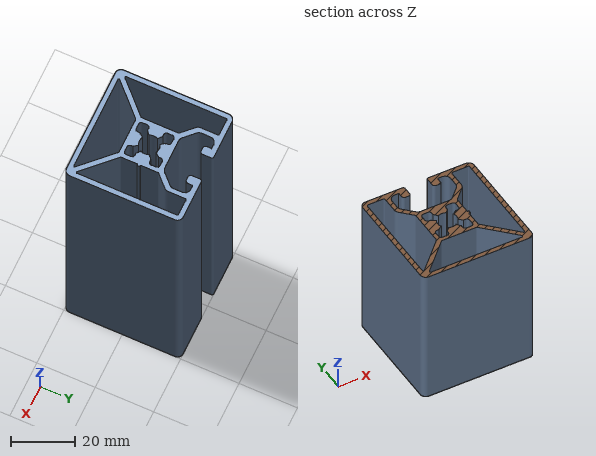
import cadquery as cq

SIZE = 40.0
LENGTH = 100.0
HALF = SIZE / 2
CORNER_RADIUS = 2.0

WALL = 1.75
INNER = HALF - WALL
CHAMBER_RADIUS = 0.3
CHAMBER_BEND_RADIUS = 2.0

CORE_OUTER = 7.5
CORE_INNER = 6.0
CORE_POCKET_RADIUS = 0.9

TOOTH_ROOT_HALF_WIDTH = 2.6
TOOTH_SHOULDER = 4.4
TOOTH_TIP_HALF_WIDTH = 1.5
TOOTH_TIP = 3.0
SCREW_BORE_RADIUS = (TOOTH_TIP_HALF_WIDTH**2 + TOOTH_TIP**2) ** 0.5

LOWER_WEB_OFFSET = 1.25
UPPER_WEB_OUTER_OFFSET = 0.85
UPPER_WEB_INNER_OFFSET = 1.8

SLOT_OPENING_HALF_WIDTH = 4.0
SLOT_HALF_WIDTH = 10.45
SLOT_WALL = 1.6
SLOT_FLOOR = 7.7
SLOT_CEILING = 18.1
SLOT_CEILING_RADIUS = 2.0
SLOT_FLOOR_RADIUS = 2.0
LIP_WIDTH = 3.0
LIP_BOTTOM = 15.5
LIP_RADIUS = 1.0
LIP_EDGE_RADIUS = 0.7

RIB_HEIGHT = 0.5
RIB_WIDTH = 1.0


def prism(points):
    """Extrude a closed outline over the full length."""
    return cq.Workplane("XY").polyline(points).close().extrude(LENGTH)


def round_edges_at(body, points, radius):
    """Round the lengthwise edges that pass through the given points."""
    for x, y in points:
        edge = cq.selectors.NearestToPointSelector((x, y, LENGTH / 2))
        body = body.edges("|Z").edges(edge).fillet(radius)
    return body


def outer_block():
    block = cq.Workplane("XY").rect(SIZE, SIZE).extrude(LENGTH)
    return block.edges("|Z").fillet(CORNER_RADIUS)


def side_chamber():
    """Chamber on the -X side, beside the T-slot and the core tube."""
    slot_outer = SLOT_HALF_WIDTH + SLOT_WALL
    bend = (-slot_outer, slot_outer - UPPER_WEB_OUTER_OFFSET)
    sharp_corners = [
        (-CORE_OUTER, CORE_OUTER - UPPER_WEB_OUTER_OFFSET),
        (-CORE_OUTER, LOWER_WEB_OFFSET - CORE_OUTER),
        (-INNER, LOWER_WEB_OFFSET - INNER),
        (-INNER, INNER),
        (-slot_outer, INNER),
    ]
    chamber = prism([bend] + sharp_corners)
    chamber = round_edges_at(chamber, [bend], CHAMBER_BEND_RADIUS)
    return round_edges_at(chamber, sharp_corners, CHAMBER_RADIUS)


def bottom_chamber():
    """Chamber on the -Y side, between the two lower webs."""
    top_half_width = CORE_OUTER - LOWER_WEB_OFFSET
    bottom_half_width = INNER - LOWER_WEB_OFFSET
    chamber = prism([
        (-top_half_width, -CORE_OUTER),
        (top_half_width, -CORE_OUTER),
        (bottom_half_width, -INNER),
        (-bottom_half_width, -INNER),
    ])
    return chamber.edges("|Z").fillet(CHAMBER_RADIUS)


def t_slot():
    lip_back = SLOT_OPENING_HALF_WIDTH + LIP_WIDTH
    wall_end = SLOT_HALF_WIDTH + UPPER_WEB_INNER_OFFSET
    floor_end = SLOT_FLOOR - UPPER_WEB_INNER_OFFSET
    right_half = [
        (floor_end, SLOT_FLOOR),
        (SLOT_HALF_WIDTH, wall_end),
        (SLOT_HALF_WIDTH, SLOT_CEILING),
        (lip_back, SLOT_CEILING),
        (lip_back, LIP_BOTTOM),
        (SLOT_OPENING_HALF_WIDTH, LIP_BOTTOM),
        (SLOT_OPENING_HALF_WIDTH, HALF),
    ]
    left_half = [(-x, y) for x, y in reversed(right_half)]
    slot = prism(right_half + left_half)
    for side in (-1, 1):
        slot = round_edges_at(slot, [(side * SLOT_HALF_WIDTH, SLOT_CEILING)], SLOT_CEILING_RADIUS)
        floor_corners = [(side * floor_end, SLOT_FLOOR), (side * SLOT_HALF_WIDTH, wall_end)]
        slot = round_edges_at(slot, floor_corners, SLOT_FLOOR_RADIUS)
        lip_corners = [(side * lip_back, LIP_BOTTOM), (side * SLOT_OPENING_HALF_WIDTH, LIP_BOTTOM)]
        slot = round_edges_at(slot, lip_corners, LIP_RADIUS)
    return slot


def core_tooth():
    """Tooth pointing from the +Y wall of the core tube to the centre."""
    return prism([
        (-TOOTH_ROOT_HALF_WIDTH, CORE_INNER),
        (-TOOTH_ROOT_HALF_WIDTH, TOOTH_SHOULDER),
        (-TOOTH_TIP_HALF_WIDTH, TOOTH_TIP),
        (TOOTH_TIP_HALF_WIDTH, TOOTH_TIP),
        (TOOTH_ROOT_HALF_WIDTH, TOOTH_SHOULDER),
        (TOOTH_ROOT_HALF_WIDTH, CORE_INNER),
    ])


def core_cavity():
    cavity = cq.Workplane("XY").rect(2 * CORE_INNER, 2 * CORE_INNER).extrude(LENGTH)
    tooth = core_tooth()
    for turn in range(4):
        cavity = cavity.cut(tooth.rotate((0, 0, 0), (0, 0, 1), 90 * turn))
    pocket_corners = []
    for sx in (-1, 1):
        for sy in (-1, 1):
            pocket_corners.append((sx * CORE_INNER, sy * CORE_INNER))
            pocket_corners.append((sx * CORE_INNER, sy * TOOTH_ROOT_HALF_WIDTH))
            pocket_corners.append((sx * TOOTH_ROOT_HALF_WIDTH, sy * CORE_INNER))
    cavity = round_edges_at(cavity, pocket_corners, CORE_POCKET_RADIUS)
    screw_bore = cq.Workplane("XY").circle(SCREW_BORE_RADIUS).extrude(LENGTH)
    return cavity.union(screw_bore)


def marking_rib():
    rib = cq.Workplane("XY").rect(RIB_HEIGHT, RIB_WIDTH).extrude(LENGTH)
    return rib.translate((CORE_OUTER + RIB_HEIGHT / 2, 0, 0))


left_chamber = side_chamber()
profile = outer_block()
profile = profile.cut(left_chamber).cut(left_chamber.mirror("YZ")).cut(bottom_chamber())
profile = profile.cut(t_slot()).cut(core_cavity())
mouth_edges = [(-SLOT_OPENING_HALF_WIDTH, HALF), (SLOT_OPENING_HALF_WIDTH, HALF)]
profile = round_edges_at(profile, mouth_edges, LIP_EDGE_RADIUS)
result = profile.union(marking_rib())